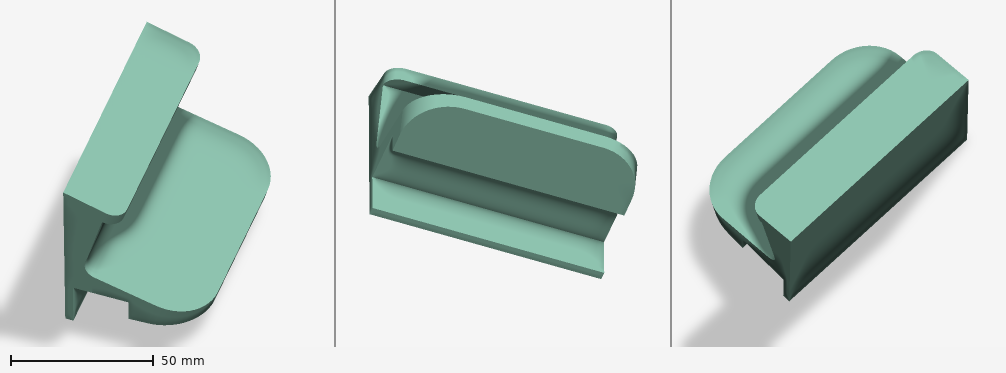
import cadquery as cq
import math

width = 86.55
length = 51.3
height = 64.8

back_lean = 0.8

tilt = math.radians(15)
plate_thickness = 5.0
tray_front_height = 14.45
tray_depth = 46.05
tray_corner_radius = 17.4
inner_radius = 5.0

lip_rise = 29.4
lip_overhang = 6.15
lip_corner_radius = 6.1

flange_thickness = 3.0
channel_roof = 17.0
channel_front = 24.2
pad_bottom = 8.5


def tilted_point(inward, up):
    """Point reached from the tray front edge, along the tray and square to it."""
    x = length - inward * math.cos(tilt) + up * math.sin(tilt)
    z = tray_front_height + inward * math.sin(tilt) + up * math.cos(tilt)
    return x, z


lean_angle = math.atan(back_lean / height)
foot_inner = (
    back_lean + flange_thickness * math.cos(lean_angle),
    flange_thickness * math.sin(lean_angle),
)
flange_root_x = foot_inner[0] - (channel_roof - foot_inner[1]) * math.tan(lean_angle)

lip_front_inward = tray_depth - lip_overhang
lip_top = lip_rise + plate_thickness
tray_front_top = tilted_point(0, 0)
tray_front_bottom = tilted_point(0, -plate_thickness)
inner_corner = tilted_point(tray_depth, 0)
lip_root = tilted_point(tray_depth, lip_rise)
lip_front_bottom = tilted_point(lip_front_inward, lip_rise)
lip_front_top = tilted_point(lip_front_inward, lip_top)

side_outline = [
    (0, height),
    (back_lean, 0),
    foot_inner,
    (flange_root_x, channel_roof),
    (channel_front, channel_roof),
    (channel_front, pad_bottom),
    tray_front_bottom,
    tray_front_top,
    inner_corner,
    lip_root,
    lip_front_bottom,
    lip_front_top,
]

body = cq.Workplane("XZ").polyline(side_outline).close().extrude(width / 2, both=True)


def edge_middle(start, end, y):
    """Middle of the edge joining two outline points, at the given Y."""
    return (start[0] + end[0]) / 2, y, (start[1] + end[1]) / 2


def round_edge(solid, middle, radius):
    """Fillet the edge whose middle is nearest to the given point."""
    return solid.edges(cq.selectors.NearestToPointSelector(middle)).fillet(radius)


body = round_edge(body, (inner_corner[0], 0, inner_corner[1]), inner_radius)
for side_y in (-width / 2, width / 2):
    tray_edge = edge_middle(tray_front_top, tray_front_bottom, side_y)
    body = round_edge(body, tray_edge, tray_corner_radius)
    lip_edge = edge_middle(lip_front_top, lip_front_bottom, side_y)
    body = round_edge(body, lip_edge, lip_corner_radius)

result = body